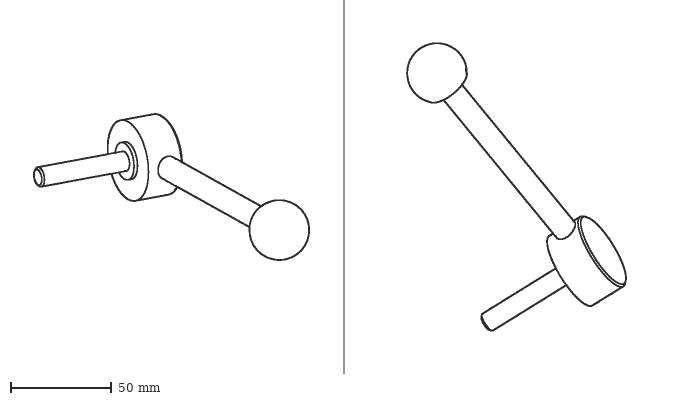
import cadquery as cq

hub_diameter = 41.0
hub_thickness = 20
hub_chamfer = 1.0

collar_diameter = 19.0
collar_height = 2.0
pin_diameter = 10
pin_length = 50
pin_chamfer = 1.0

overall_length = 166.5
overall_depth = 78.5
arm_diameter = 12.0
ball_diameter = 30
ball_flat_to_tip = 24.0

ball_radius = ball_diameter / 2
tip_x = overall_length - hub_diameter / 2
ball_x = tip_x - ball_radius
flat_x = tip_x - ball_flat_to_tip
arm_y = overall_depth - collar_height - pin_length - ball_radius


def cylinder_along_y(diameter, y_start, y_end):
    """Cylinder on the hub axis between two Y positions."""
    return (
        cq.Workplane("XZ", origin=(0, y_end, 0))
        .circle(diameter / 2)
        .extrude(y_end - y_start)
    )


def make_hub():
    hub = cylinder_along_y(hub_diameter, 0, hub_thickness)
    return hub.faces(">Y").chamfer(hub_chamfer)


def make_pin():
    pin_end = -collar_height - pin_length
    return cylinder_along_y(pin_diameter, pin_end, 0).faces("<Y").chamfer(pin_chamfer)


def make_arm():
    return cq.Workplane("YZ", origin=(0, arm_y, 0)).circle(arm_diameter / 2).extrude(ball_x)


def make_ball():
    ball = cq.Workplane("XY", origin=(ball_x, arm_y, 0)).sphere(ball_radius)
    kept_side = (
        cq.Workplane("YZ", origin=(flat_x, arm_y, 0))
        .rect(ball_diameter, ball_diameter)
        .extrude(ball_flat_to_tip)
    )
    return ball.intersect(kept_side)


collar = cylinder_along_y(collar_diameter, -collar_height, 0)

result = make_hub().union(collar).union(make_pin()).union(make_arm()).union(make_ball())